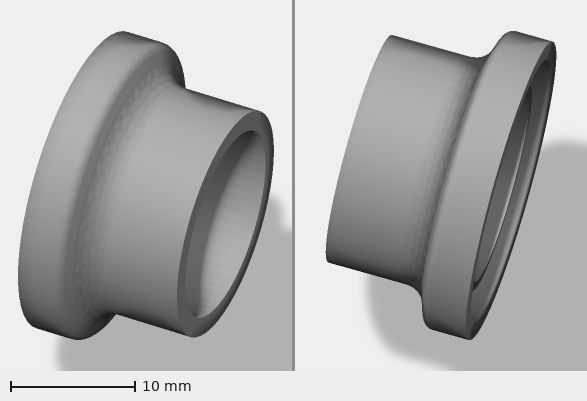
import cadquery as cq
import math

length = 12.7
flange_radius = 25 / 2
tube_radius = 19.05 / 2
bore_radius = 15.75 / 2

rim_start = 3.08
rim_fillet = 0.8
neck_fillet = 2.0
back_slope = math.radians(20)

groove_radius = 21.8 / 2
groove_fillet = 0.8
lip_radius = 8.6
lip_recess = 0.85
lip_slope = math.radians(50)
edge_round = 0.2


def circle_edges(body, x, radius):
    """Select the circular edge at the given axial position and radius."""
    tolerance = 0.0002
    return body.edges("%CIRCLE").filter(
        lambda edge: abs(edge.Center().x - x) < tolerance
        and abs(edge.radius() - radius) < tolerance
    )


rim_corner_x = rim_start + rim_fillet * math.tan((math.pi / 2 - back_slope) / 2)
neck_corner_x = rim_corner_x + (flange_radius - tube_radius) * math.tan(back_slope)
groove_corner_x = lip_recess + (groove_radius - lip_radius) * math.tan(lip_slope)

ferrule = (
    cq.Workplane("XY")
    .polyline([
        (0, groove_radius),
        (0, flange_radius),
        (rim_corner_x, flange_radius),
        (neck_corner_x, tube_radius),
        (length, tube_radius),
        (length, bore_radius),
        (lip_recess, bore_radius),
        (lip_recess, lip_radius),
        (groove_corner_x, groove_radius),
    ])
    .close()
    .revolve(360, (0, 0, 0), (1, 0, 0))
)

rounded_corners = [
    (rim_corner_x, flange_radius, rim_fillet),
    (neck_corner_x, tube_radius, neck_fillet),
    (groove_corner_x, groove_radius, groove_fillet),
    (lip_recess, lip_radius, edge_round),
    (0, groove_radius, edge_round),
]
for corner_x, corner_radius, fillet_size in rounded_corners:
    ferrule = circle_edges(ferrule, corner_x, corner_radius).fillet(fillet_size)

result = ferrule